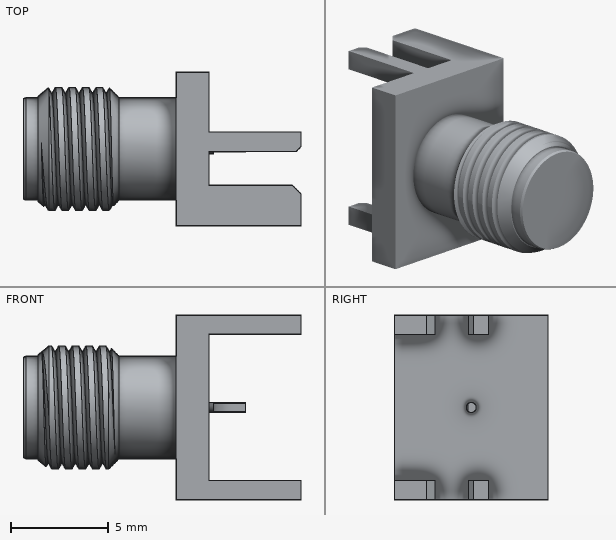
import cadquery as cq
import math

LENGTH = 14.3
FLANGE_WIDTH = 7.92
FLANGE_HEIGHT = 9.52
FLANGE_FRONT = 7.86
FLANGE_THICKNESS = 1.7

BARREL_RADIUS = 2.65
NOSE_BEVEL_LENGTH = 0.13
NOSE_BEVEL_DEPTH = 0.06

COLLAR_START = 0.75
COLLAR_END = 4.92
COLLAR_FRONT_RADIUS = 2.7
COLLAR_FRONT_BEVEL_LENGTH = 0.57
THREAD_RADIUS = 3.17
PITCH = 0.7
GROOVE_DEPTH = 0.33
GROOVE_HALF_ANGLE = 30
GROOVE_OVERCUT = 0.07
GROOVE_START = 0.23
GROOVE_TURNS = 7.5

LEG_THICKNESS = 1.0
LEG_INNER_Z = FLANGE_HEIGHT / 2 - LEG_THICKNESS
NARROW_LEG_Y = (-0.15, 0.89)
NARROW_LEG_BEVEL = 0.26
WIDE_LEG_Y = (-FLANGE_WIDTH / 2, -1.86)
WIDE_LEG_BEVEL = 0.46

PIN_RADIUS = 0.26
PIN_END = 11.44
PIN_FLAT_START = 9.78
PIN_FLAT_OFFSET = 0.16


def make_body():
    """Barrel and unthreaded collar, revolved about X."""
    rear_bevel = THREAD_RADIUS - BARREL_RADIUS
    profile = [
        (0, 0),
        (0, BARREL_RADIUS - NOSE_BEVEL_DEPTH),
        (NOSE_BEVEL_LENGTH, BARREL_RADIUS),
        (COLLAR_START, BARREL_RADIUS),
        (COLLAR_START, COLLAR_FRONT_RADIUS),
        (COLLAR_START + COLLAR_FRONT_BEVEL_LENGTH, THREAD_RADIUS),
        (COLLAR_END - rear_bevel, THREAD_RADIUS),
        (COLLAR_END, BARREL_RADIUS),
        (FLANGE_FRONT, BARREL_RADIUS),
        (FLANGE_FRONT, 0),
    ]
    return cq.Workplane("XY").polyline(profile).close().revolve(360, (0, 0, 0), (1, 0, 0))


def make_thread_groove():
    """Right-handed V groove that runs out through both collar bevels."""
    root_radius = THREAD_RADIUS - GROOVE_DEPTH
    outer_radius = THREAD_RADIUS + GROOVE_OVERCUT
    half_width = (outer_radius - root_radius) * math.tan(math.radians(GROOVE_HALF_ANGLE))
    helix = cq.Wire.makeHelix(PITCH, GROOVE_TURNS * PITCH, root_radius)
    groove = (
        cq.Workplane("XZ")
        .polyline([(root_radius, 0), (outer_radius, half_width), (outer_radius, -half_width)])
        .close()
        .sweep(cq.Workplane(helix), isFrenet=True)
    )
    groove = groove.rotate((0, 0, 0), (0, 0, 1), 180).rotate((0, 0, 0), (0, 1, 0), 90)
    return groove.translate((GROOVE_START, 0, 0))


def make_threaded_rod():
    """Full-length rod carrying the thread, from which the body shape is taken."""
    rod = cq.Workplane("YZ").circle(THREAD_RADIUS).extrude(FLANGE_FRONT)
    return rod.cut(make_thread_groove())


def make_flange():
    return cq.Workplane("XY").box(
        FLANGE_THICKNESS, FLANGE_WIDTH, FLANGE_HEIGHT, centered=(False, True, True)
    ).translate((FLANGE_FRONT, 0, 0))


def make_leg(y_range, bevel, bevel_side, bottom_z):
    """Leg with its tip bevelled on one Y side ("<Y" or ">Y")."""
    y_min, y_max = y_range
    leg = cq.Workplane("XY").box(
        LENGTH - FLANGE_FRONT, y_max - y_min, LEG_THICKNESS, centered=False
    )
    leg = leg.faces(">X").edges(bevel_side).chamfer(bevel)
    return leg.translate((FLANGE_FRONT, y_min, bottom_z))


def make_pin():
    pin = cq.Workplane("YZ").circle(PIN_RADIUS).extrude(PIN_END - FLANGE_FRONT)
    pin = pin.translate((FLANGE_FRONT, 0, 0))
    flat_cutter = cq.Workplane("XY").box(
        PIN_END - PIN_FLAT_START, PIN_RADIUS, 2 * PIN_RADIUS, centered=(False, False, True)
    )
    return pin.cut(flat_cutter.translate((PIN_FLAT_START, -PIN_FLAT_OFFSET - PIN_RADIUS, 0)))


result = make_threaded_rod().intersect(make_body()).union(make_flange())
for leg_bottom in (LEG_INNER_Z, -FLANGE_HEIGHT / 2):
    result = result.union(make_leg(NARROW_LEG_Y, NARROW_LEG_BEVEL, "<Y", leg_bottom))
    result = result.union(make_leg(WIDE_LEG_Y, WIDE_LEG_BEVEL, ">Y", leg_bottom))
result = result.union(make_pin())